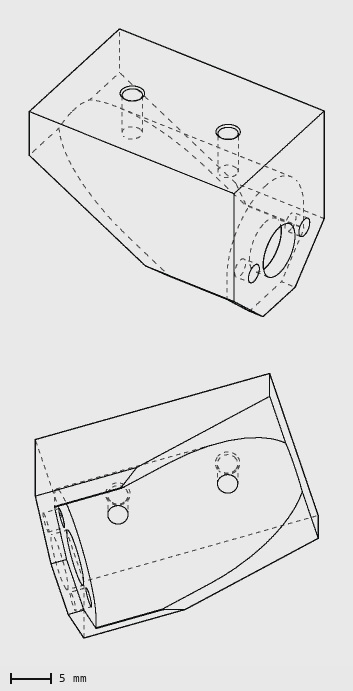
import cadquery as cq
import math

turn_angle = 30
overall_x = 35.98
width = 20.0
turn = math.radians(turn_angle)
length = (overall_x - width * math.sin(turn)) / math.cos(turn)
mid_width = width / 2

end_depth = 6.73
chamfer_depth = 16.55
body_depth = 17.95
plate_depth = 23.0

underside_angle = 30
side_chamfer_angle = 45
plate_thickness = 2.0
plate_face = length - plate_thickness

channel_radius = 8.5
channel_axis_depth = 14.5

motor_axis_depth = 15.08
shaft_hole_diameter = 7.0
screw_hole_diameter = 2.4
screw_offset = 5.58

mount_hole_diameter = 2.5
mount_rim_diameter = 3.0
mount_rim_angle = 45
mount_rim_depth = (mount_rim_diameter - mount_hole_diameter) / 2 / math.tan(math.radians(mount_rim_angle))
mount_spacing = 14.05
mount_mid = 15.5


def side_profile_body():
    """Wedge body and hanging motor plate, extruded across the width."""
    slope_length = (body_depth - end_depth) / math.tan(math.radians(underside_angle))
    return (
        cq.Workplane("XZ")
        .polyline([
            (0, 0),
            (length, 0),
            (length, -plate_depth),
            (plate_face, -plate_depth),
            (plate_face, -body_depth),
            (slope_length, -body_depth),
            (0, -end_depth),
        ])
        .close()
        .extrude(-width)
    )


def end_profile_envelope():
    """Prism along the length whose lower two edges are chamfered."""
    inset = (plate_depth - chamfer_depth) / math.tan(math.radians(side_chamfer_angle))
    return (
        cq.Workplane("YZ")
        .polyline([
            (0, 0),
            (width, 0),
            (width, -chamfer_depth),
            (width - inset, -plate_depth),
            (inset, -plate_depth),
            (0, -chamfer_depth),
        ])
        .close()
        .extrude(length)
    )


def motor_channel():
    """Round-topped, straight-sided channel ending at the motor plate."""
    left = mid_width - channel_radius
    right = mid_width + channel_radius
    return (
        cq.Workplane("YZ")
        .moveTo(left, -plate_depth)
        .lineTo(left, -channel_axis_depth)
        .threePointArc((mid_width, channel_radius - channel_axis_depth), (right, -channel_axis_depth))
        .lineTo(right, -plate_depth)
        .close()
        .extrude(plate_face)
    )


def plate_hole(offset, diameter):
    """Cutter through the motor plate, offset sideways from the motor axis."""
    return (
        cq.Workplane("YZ", origin=(plate_face, 0, 0))
        .center(mid_width + offset, -motor_axis_depth)
        .circle(diameter / 2)
        .extrude(plate_thickness)
    )


def mount_hole(along):
    """Cutter from the top face into the channel, with a countersunk rim."""
    hole = (
        cq.Workplane("XY")
        .center(along, mid_width)
        .circle(mount_hole_diameter / 2)
        .extrude(-channel_axis_depth)
    )
    rim = (
        cq.Workplane("XY")
        .center(along, mid_width)
        .circle(mount_rim_diameter / 2)
        .extrude(-mount_rim_depth, taper=mount_rim_angle)
    )
    return hole.union(rim)


bracket = side_profile_body().intersect(end_profile_envelope())
bracket = bracket.cut(motor_channel())

bracket = bracket.cut(plate_hole(0, shaft_hole_diameter))
for side in (-1, 1):
    bracket = bracket.cut(plate_hole(side * screw_offset, screw_hole_diameter))
    bracket = bracket.cut(mount_hole(mount_mid + side * mount_spacing / 2))

result = bracket.rotate((0, 0, 0), (0, 0, 1), turn_angle)